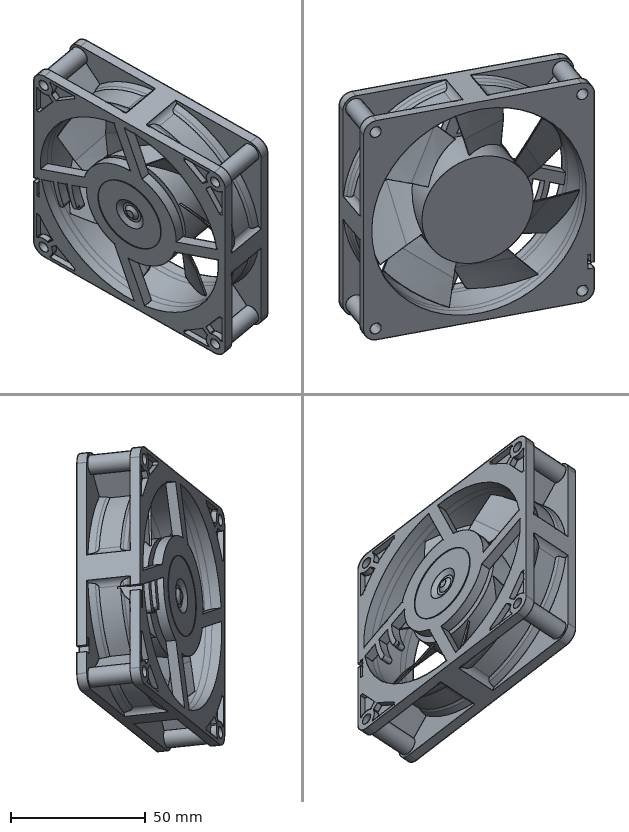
import cadquery as cq
import math

side = 92.0
depth = 25.0
corner_radius = 5.15
flange = 4.0
half_side = side / 2
front = -depth / 2
back = depth / 2
pocket_front = front + flange
pocket_back = back - flange

mouth_radius = 42.8
throat_radius = 42.7
inlet_cone_depth = 2.5
duct_wall_radius = 44.2
front_flare = [(0, 46.1), (1.3, 45.4), (3.3, 44.8), (4.7, duct_wall_radius)]
back_flare = [(0, 45.1), (2.8, 44.6), (4.0, duct_wall_radius)]

web_half_width = 4.9
pocket_fillet = 3.2
mount_inset = 4.8
mount = half_side - mount_inset
post_radius = 3.7
hole_radius = 2.2
corner_web_thickness = 1.3

recess_depth = 2.3
recess_rim = 4.2
recess_corners = [(7.9, 1.5), (19.7, 1.5), (19.7, 2.7), (10.8, 9.1), (8.65, 7.2)]

hub_radius = 22.5
hub_relief_radius = 20.5
hub_relief_start = 175
hub_relief_end = 255
label_radius = 15.1
label_depth = 0.3
funnel_outer = 6.4
funnel_inner = 4.2
funnel_depth = 1.6
boss_base = 3.1
boss_tip = 1.7
boss_height = 1.2
strut_angle = 22.0
strut_offset = 8.9
strut_width = 4.9
strut_start = 12.9
strut_end = 42.8

outer_guide_radius = 35.8
inner_guide_radius = 28.8
guide_width = 2.2
guide_start = 181
guide_end = 204.0
hook_end = 206.0
hook_drop = 1.4
slot_outer_x = -44.4
slot_inner_x = -43.3
front_slot_top = -7.9
front_slot_bottom = -16.8
front_slot_depth = 9.9
front_notch_top = -8.6
front_notch_bottom = -10.7
back_slot_top = -26.7
back_slot_bottom = -32.6
back_notch_top = -30.0

rotor_radius = 22.2
rotor_gap = 1.8
rotor_front = pocket_front + rotor_gap
rotor_back = 11.0
blade_count = 7
blade_tip_radius = 41.6
blade_thickness = 0.8
blade_front = -6.1
blade_back = 8.65
first_blade_angle = 96.0
blade_sections = [(14.7, 14.0, -1.8), (28.5, 13.8, -7.45), (44.2, 11.5, -14.35)]


def face_at(y):
    """Workplane facing -Y whose local axes are X and Z."""
    return cq.Workplane("XZ", origin=(0, y, 0))


def block(x_range, y_range, z_range):
    """Box between pairs of limits along X, Y and Z."""
    limits = (x_range, y_range, z_range)
    sizes = [high - low for low, high in limits]
    start = [low for low, high in limits]
    return cq.Workplane("XY").box(*sizes, centered=False).translate(tuple(start))


def disc(radius, y_start, y_end):
    return face_at(y_end).circle(radius).extrude(y_end - y_start)


def turned(profile):
    """Solid of revolution about the Y axis from (radius, y) points."""
    return cq.Workplane("XY").polyline(profile).close().revolve(360, (0, 0, 0), (0, 1, 0))


def about_axis(body, angle):
    """Turn a body about the Y axis, from X towards Z."""
    return body.rotate((0, 0, 0), (0, 1, 0), -angle)


def polar(radius, angle):
    turn = math.radians(angle)
    return (radius * math.cos(turn), radius * math.sin(turn))


def ring_sector(inner, outer, start, end, y_start, y_end):
    """Part of a ring between two angles."""
    middle = (start + end) / 2
    return (
        face_at(y_end)
        .moveTo(*polar(inner, start))
        .lineTo(*polar(outer, start))
        .threePointArc(polar(outer, middle), polar(outer, end))
        .lineTo(*polar(inner, end))
        .threePointArc(polar(inner, middle), polar(inner, start))
        .close()
        .extrude(y_end - y_start)
    )


def duct_outside():
    front_points = [(radius, pocket_front + step) for step, radius in front_flare]
    back_points = [(radius, pocket_back - step) for step, radius in reversed(back_flare)]
    return turned([(0, pocket_front), *front_points, *back_points, (0, pocket_back)])


def duct_bore():
    cone_front = pocket_front + inlet_cone_depth
    cone_back = pocket_back - inlet_cone_depth
    return turned([
        (0, front),
        (mouth_radius, front),
        (mouth_radius, pocket_front),
        (throat_radius, cone_front),
        (throat_radius, cone_back),
        (mouth_radius, pocket_back),
        (mouth_radius, back),
        (0, back),
    ])


def corner_pocket():
    """Open space between the flanges in the +X +Z corner, around the duct, post and web."""
    reach = half_side + 2 * pocket_fillet
    pocket = block(
        (web_half_width, reach), (pocket_front, pocket_back), (web_half_width, reach)
    ).cut(disc(duct_wall_radius, pocket_front, pocket_back))
    wall_depth = math.sqrt(duct_wall_radius**2 - web_half_width**2)
    for x, z in ((web_half_width, wall_depth), (wall_depth, web_half_width)):
        inner_edge = cq.selectors.NearestToPointSelector((x, 0, z))
        pocket = pocket.edges(inner_edge).fillet(pocket_fillet)
    pocket = pocket.cut(duct_outside())
    post = disc(post_radius, pocket_front, pocket_back).translate((mount, 0, mount))
    web = about_axis(
        block(
            (0, mount * math.sqrt(2)),
            (pocket_front, pocket_back),
            (-corner_web_thickness / 2, corner_web_thickness / 2),
        ),
        45,
    )
    return pocket.cut(post).cut(web)


def corner_recesses():
    """Two mirrored triangular recesses beside the +X +Z mounting hole."""
    outline = [(half_side - a, half_side - b) for a, b in recess_corners]
    mirrored = [(z, x) for x, z in outline]
    floor = front + recess_depth
    pair = face_at(floor).polyline(outline).close().extrude(recess_depth)
    pair = pair.union(face_at(floor).polyline(mirrored).close().extrude(recess_depth))
    return pair.cut(disc(recess_rim, front, floor).translate((mount, 0, mount)))


def make_shell():
    """Square flanges and duct, without the hub."""
    shell = (
        face_at(back).rect(side, side).extrude(depth).edges("|Y").fillet(corner_radius)
    )
    shell = shell.cut(duct_bore())
    pocket = corner_pocket()
    recesses = corner_recesses()
    hole = disc(hole_radius, front, back).translate((mount, 0, mount))
    for corner in range(4):
        angle = 90 * corner
        shell = shell.cut(about_axis(pocket, angle))
        shell = shell.cut(about_axis(recesses, angle))
        shell = shell.cut(about_axis(hole, angle))
    return shell


def make_hub():
    """Motor plate with its relieved edge, label recess and central funnel."""
    hub = disc(hub_radius, front, pocket_front)
    hub = hub.cut(
        ring_sector(
            hub_relief_radius, hub_radius + 0.9, hub_relief_start, hub_relief_end, front, pocket_front
        )
    )
    hub = hub.cut(disc(label_radius, front, front + label_depth))
    floor = front + funnel_depth
    funnel = turned([
        (0, front),
        (funnel_outer, front),
        (funnel_outer, front + label_depth),
        (funnel_inner, floor),
        (boss_base, floor),
        (boss_tip, floor - boss_height),
        (0, floor - boss_height),
    ])
    return hub.cut(funnel)


def make_struts():
    strut = block(
        (strut_start, strut_end),
        (front, pocket_front),
        (-strut_offset - strut_width, -strut_offset),
    )
    struts = cq.Workplane()
    for turn in range(4):
        struts = struts.union(about_axis(strut, strut_angle + 90 * turn))
    return struts


def guide(radius, start, end, y_start):
    """Curved finger with a round free end."""
    half = guide_width / 2
    x, z = polar(radius, end)
    tip = disc(half, y_start, pocket_front).translate((x, 0, z))
    return ring_sector(radius - half, radius + half, start, end, y_start, pocket_front).union(tip)


def make_guides():
    outer = guide(outer_guide_radius, guide_start, guide_end, front)
    inner = guide(inner_guide_radius, guide_start, guide_end, front)
    hook = guide(inner_guide_radius, guide_start, hook_end, front + hook_drop)
    return outer.union(inner).union(hook)


def cable_slots():
    """Cable slots near the -X side, each with a notch open to that side."""
    front_slot = block(
        (slot_outer_x, slot_inner_x),
        (front, front + front_slot_depth),
        (front_slot_bottom, front_slot_top),
    )
    front_notch = block(
        (-half_side, slot_inner_x),
        (front, front + front_slot_depth),
        (front_notch_bottom, front_notch_top),
    )
    back_slot = block(
        (slot_outer_x, slot_inner_x), (pocket_back, back), (back_slot_bottom, back_slot_top)
    )
    back_notch = block(
        (-half_side, slot_inner_x), (pocket_back, back), (back_slot_bottom, back_notch_top)
    )
    return front_slot.union(front_notch).union(back_slot).union(back_notch)


def make_frame():
    frame = make_shell().union(make_struts()).union(make_hub()).union(make_guides())
    return frame.cut(cable_slots())


def blade_section(distance, leading, trailing):
    """Thin slanted section in a plane square to the blade, as a closed wire."""
    corners = [
        (distance, blade_front, leading),
        (distance, blade_front + blade_thickness, leading),
        (distance, blade_back, trailing),
        (distance, blade_back - blade_thickness, trailing),
    ]
    return cq.Wire.makePolygon([cq.Vector(*point) for point in corners], close=True)


def make_rotor():
    """Rotor drum with its ring of swept blades."""
    sections = [blade_section(*section) for section in blade_sections]
    blade = cq.Workplane(cq.Solid.makeLoft(sections, True))
    blade = blade.intersect(disc(blade_tip_radius, rotor_front, rotor_back))
    rotor = disc(rotor_radius, rotor_front, rotor_back)
    for index in range(blade_count):
        angle = first_blade_angle + 360 / blade_count * index
        rotor = rotor.union(about_axis(blade, angle))
    return rotor


frame = make_frame()
rotor = make_rotor()
result = cq.Compound.makeCompound([frame.val(), rotor.val()])